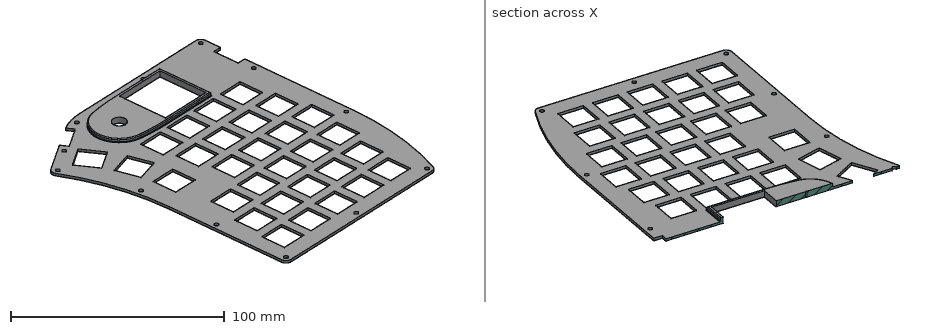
import cadquery as cq
import math

PLATE_LENGTH = 156.91
PLATE_THICKNESS = 1.5
TOTAL_HEIGHT = 3.5
CORNER_RADIUS = 3.15
THUMB_TILT = 30.0

X_LEFT = -PLATE_LENGTH / 2
X_RIGHT = PLATE_LENGTH / 2
Y_TOP = 66.325
Y_BOTTOM = -52.9

TOP_ARC_START_X = 16.4
TOP_ARC_RADIUS = 152.0
BOTTOM_ARC_START_X = 5.0
BOTTOM_ARC_RADIUS = 135.9
LEFT_ARC_START_Y = -19.7
LEFT_ARC_RADIUS = 31.5

NOTCH_WIDTH = 15.0
NOTCH_DEPTH = 4.7
TOP_NOTCH_X = -58.4
THUMB_NOTCH_REACH = 5.35

SCREW_DIAMETER = 2.2
TOP_SCREW_XS = (-42.5, 14.8)
LEFT_SCREWS = ((-75.4, 22.3), (-74.4, -26.4), (-62.9, -48.7))
BOTTOM_SCREWS = ((-13.4, -51.0), (32.4, -49.9))
RIGHT_SCREW_Y = 0.5
RIGHT_TOP_SCREW_Y = 51.0
THUMB_SCREW = (-54.2, -63.3)

KEY_SIZE = 14.0
KEY_PITCH = 19.0
FIRST_COLUMN_X = -32.65
COLUMNS = (
    (43.0, 4),
    (46.4, 4),
    (50.2, 4),
    (46.4, 5),
    (41.5, 5),
    (39.0, 5),
)
THUMB_KEYS = (
    (-7.2, -34.4, 0),
    (-29.3, -37.5, THUMB_TILT / 2),
    (-49.5, -45.9, THUMB_TILT),
)

HOUSING_X = -57.85
HOUSING_HALF_WIDTH = 16.25
HOUSING_TOP_Y = 32.2
HOUSING_TAPER_Y = 0.0
HOUSING_END_RADIUS = 15.2
HOUSING_CHAMFER = 0.5
FOOT_WIDTH = 0.25
FOOT_HEIGHT = 0.4
KNOB_Y = -15.2
KNOB_DIAMETER = 7.5
WINDOW_WIDTH = 28.5
WINDOW_HEIGHT = 28.8
WINDOW_Y = 15.8


def arc_point(centre, radius, degrees):
    angle = math.radians(degrees)
    return centre[0] + radius * math.cos(angle), centre[1] + radius * math.sin(angle)


def arc_points(centre, radius, start, end):
    """Middle and end points of an arc."""
    return arc_point(centre, radius, (start + end) / 2), arc_point(centre, radius, end)


def notch_cutter():
    return cq.Workplane("XY").rect(NOTCH_WIDTH, 2 * NOTCH_DEPTH).extrude(PLATE_THICKNESS)


def make_plate():
    """Flat plate with rounded corners and two edge notches."""
    top_centre = (TOP_ARC_START_X, Y_TOP - TOP_ARC_RADIUS)
    top_end_angle = math.degrees(math.acos((X_RIGHT - TOP_ARC_START_X) / TOP_ARC_RADIUS))
    bottom_centre = (BOTTOM_ARC_START_X, Y_BOTTOM - BOTTOM_ARC_RADIUS)
    left_centre = (X_LEFT + LEFT_ARC_RADIUS, LEFT_ARC_START_Y)
    left_start = arc_point(left_centre, LEFT_ARC_RADIUS, 180 + THUMB_TILT)

    tilt = math.radians(THUMB_TILT)
    along = (math.sin(tilt), -math.cos(tilt))
    to_centre = (bottom_centre[0] - left_start[0], bottom_centre[1] - left_start[1])
    centre_reach = to_centre[0] * along[0] + to_centre[1] * along[1]
    centre_offset = to_centre[0] * along[1] - to_centre[1] * along[0]
    corner_reach = centre_reach - math.sqrt(BOTTOM_ARC_RADIUS**2 - centre_offset**2)
    thumb_corner = (left_start[0] + corner_reach * along[0], left_start[1] + corner_reach * along[1])
    corner_angle = math.degrees(
        math.atan2(thumb_corner[1] - bottom_centre[1], thumb_corner[0] - bottom_centre[0])
    )

    outline = (
        cq.Workplane("XY")
        .moveTo(X_LEFT, Y_TOP)
        .lineTo(TOP_ARC_START_X, Y_TOP)
        .threePointArc(*arc_points(top_centre, TOP_ARC_RADIUS, 90, top_end_angle))
        .lineTo(X_RIGHT, Y_BOTTOM)
        .lineTo(BOTTOM_ARC_START_X, Y_BOTTOM)
        .threePointArc(*arc_points(bottom_centre, BOTTOM_ARC_RADIUS, 90, corner_angle))
        .lineTo(*left_start)
        .threePointArc(*arc_points(left_centre, LEFT_ARC_RADIUS, 180 + THUMB_TILT, 180))
        .close()
    )
    plate = outline.extrude(PLATE_THICKNESS)
    for x, y in ((X_LEFT, Y_TOP), (X_RIGHT, Y_TOP), (X_RIGHT, Y_BOTTOM), thumb_corner):
        corner_edge = cq.selectors.NearestToPointSelector((x, y, PLATE_THICKNESS / 2))
        plate = plate.edges(corner_edge).fillet(CORNER_RADIUS)

    top_notch = notch_cutter().translate((TOP_NOTCH_X, Y_TOP, 0))
    thumb_notch_x = left_start[0] + THUMB_NOTCH_REACH * along[0]
    thumb_notch_y = left_start[1] + THUMB_NOTCH_REACH * along[1]
    thumb_notch = notch_cutter().rotate((0, 0, 0), (0, 0, 1), 90 + THUMB_TILT)
    thumb_notch = thumb_notch.translate((thumb_notch_x, thumb_notch_y, 0))
    return plate.cut(top_notch).cut(thumb_notch)


def housing_outline(half_width, top_y, end_radius):
    """Square-topped outline whose sides curve in to a round end about the knob."""
    rise = HOUSING_TAPER_Y - KNOB_Y
    inset = half_width - end_radius
    side_radius = (rise**2 + inset**2) / (2 * inset) + end_radius
    sweep = math.degrees(math.asin(rise / (side_radius - end_radius)))
    side_shift = side_radius - half_width
    right_centre = (HOUSING_X - side_shift, HOUSING_TAPER_Y)
    left_centre = (HOUSING_X + side_shift, HOUSING_TAPER_Y)
    return (
        cq.Workplane("XY")
        .moveTo(HOUSING_X - half_width, top_y)
        .lineTo(HOUSING_X + half_width, top_y)
        .lineTo(HOUSING_X + half_width, HOUSING_TAPER_Y)
        .threePointArc(*arc_points(right_centre, side_radius, 0, -sweep))
        .threePointArc(*arc_points((HOUSING_X, KNOB_Y), end_radius, -sweep, -180 + sweep))
        .threePointArc(*arc_points(left_centre, side_radius, 180 + sweep, 180))
        .close()
    )


def make_housing():
    """Vertical wall with a chamfered top, rising from a wider sloped foot."""
    wall = housing_outline(
        HOUSING_HALF_WIDTH - FOOT_WIDTH,
        HOUSING_TOP_Y - FOOT_WIDTH,
        HOUSING_END_RADIUS - FOOT_WIDTH,
    ).extrude(TOTAL_HEIGHT)
    wall = wall.faces(">Z").chamfer(HOUSING_CHAMFER)
    foot = housing_outline(HOUSING_HALF_WIDTH, HOUSING_TOP_Y, HOUSING_END_RADIUS)
    foot = foot.extrude(PLATE_THICKNESS + FOOT_HEIGHT)
    foot = foot.faces(">Z").chamfer(FOOT_HEIGHT, FOOT_WIDTH)
    return wall.union(foot)


def cut_keys(body):
    centres = []
    for column, (top_y, count) in enumerate(COLUMNS):
        x = FIRST_COLUMN_X + column * KEY_PITCH
        centres.extend((x, top_y - row * KEY_PITCH) for row in range(count))
    grid = cq.Workplane("XY").pushPoints(centres).rect(KEY_SIZE, KEY_SIZE).extrude(PLATE_THICKNESS)
    body = body.cut(grid)
    for x, y, rotation in THUMB_KEYS:
        key = cq.Workplane("XY").rect(KEY_SIZE, KEY_SIZE).extrude(PLATE_THICKNESS)
        body = body.cut(key.rotate((0, 0, 0), (0, 0, 1), rotation).translate((x, y, 0)))
    return body


def cut_screw_holes(body):
    centres = [(x, Y_TOP - CORNER_RADIUS) for x in TOP_SCREW_XS]
    centres.append((X_LEFT + CORNER_RADIUS, Y_TOP - CORNER_RADIUS))
    for y in (RIGHT_TOP_SCREW_Y, RIGHT_SCREW_Y, Y_BOTTOM + CORNER_RADIUS):
        centres.append((X_RIGHT - CORNER_RADIUS, y))
    centres.extend(LEFT_SCREWS + BOTTOM_SCREWS + (THUMB_SCREW,))
    holes = cq.Workplane("XY").pushPoints(centres).circle(SCREW_DIAMETER / 2).extrude(TOTAL_HEIGHT)
    return body.cut(holes)


def cut_housing_openings(body):
    window = cq.Workplane("XY").center(HOUSING_X, WINDOW_Y).rect(WINDOW_WIDTH, WINDOW_HEIGHT)
    knob = cq.Workplane("XY").center(HOUSING_X, KNOB_Y).circle(KNOB_DIAMETER / 2)
    return body.cut(window.extrude(TOTAL_HEIGHT)).cut(knob.extrude(TOTAL_HEIGHT))


body = make_plate().union(make_housing())
body = cut_housing_openings(body)
body = cut_screw_holes(body)
result = cut_keys(body)